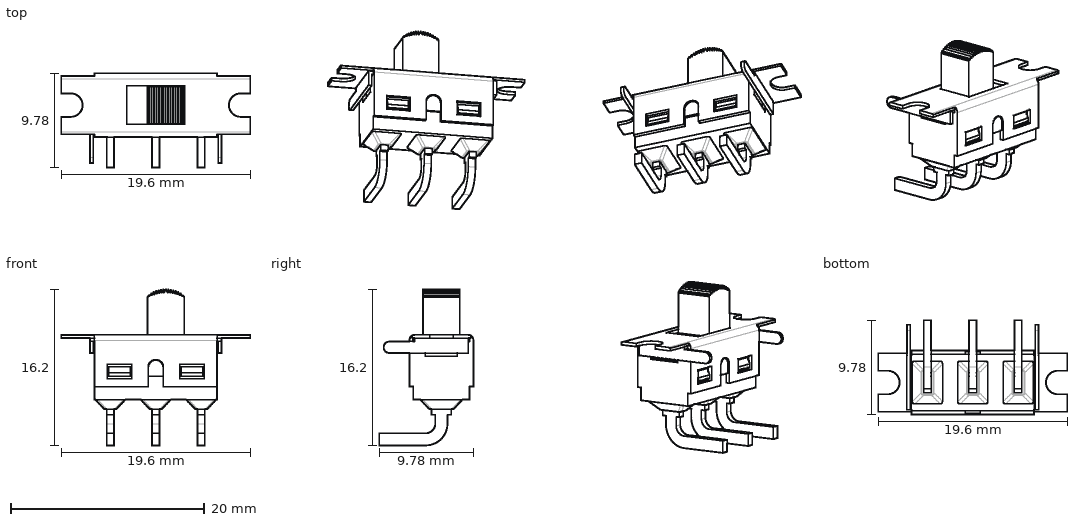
import cadquery as cq
import math


overall_depth = 9.78
overall_height = 16.19

plate_length = 19.56
plate_width = 6.06
sheet = 0.35
cover_length = 12.7
cover_width = 6.64
cover_depth = 5.36
bend_radius = 0.58
ear_slot_diameter = 2.4
ear_slot_center_x = 8.78

window_length = 5.97
window_width = 4.0

catch_offset_x = 3.75
catch_window_length = 2.5
catch_window_top = -3.07
catch_window_bottom = -4.55
arch_width = 1.59
arch_top = -2.58

housing_width = 5.84
housing_bottom = -6.71
catch_length = 2.22
catch_top = -3.3
catch_crest = -3.96
catch_bottom = -4.31
catch_height = 0.25
key_gap = 0.04
key_height = 0.26
end_recess_width = 3.32
end_recess_bottom = -2.25
end_recess_depth = 0.35

bracket_length = 13.62
bracket_width = 5.6
bracket_bottom = -2 * sheet
leg_bottom = -1.9
arm_tip_y = -5.99

knob_length = 3.84
knob_width = 3.83
knob_center_x = 1.05
knob_top = 4.72
crest_radius = 2.8
root_drop = 0.36
root_radius = 4.0
tooth_pitch = 0.252
tooth_lean = 0.05
teeth_per_side = 7

terminal_pitch = 4.7
terminal_width = 0.78
terminal_thickness = 1.28
terminal_bottom = knob_top - overall_height
terminal_bend_radius = 1.0
terminal_end_y = cover_width / 2 - overall_depth
stub_width = 2.07
stub_bottom = -8.29
foot_length = 3.14
foot_width = 4.4
foot_height = 0.98
foot_taper = 43.5
foot_corner_radius = 0.35
foot_edge_radius = 0.15


def block(x_range, y_range, z_range):
    """Box between the given limits on each axis."""
    (x0, x1), (y0, y1), (z0, z1) = x_range, y_range, z_range
    return cq.Workplane("XY").box(x1 - x0, y1 - y0, z1 - z0, centered=False).translate((x0, y0, z0))


def centered_block(length, width, z_range, center_x=0):
    """Box centred on y = 0 and on the given x."""
    return block(
        (center_x - length / 2, center_x + length / 2), (-width / 2, width / 2), z_range
    )


def folded_shell(length):
    """Plate with its long edges bent down into walls, open at the bottom and ends."""
    outer = centered_block(length, cover_width, (-cover_depth, 0)).edges("|X and >Z").fillet(bend_radius)
    return outer.cut(centered_block(length, housing_width, (-cover_depth, -sheet)))


def make_cover():
    ears = folded_shell(plate_length).intersect(centered_block(plate_length, plate_width, (-sheet, 0)))
    cover = ears.union(folded_shell(cover_length))

    for side in (-1, 1):
        slot_end = cq.Workplane("XY").center(side * ear_slot_center_x, 0).circle(ear_slot_diameter / 2)
        slot_mouth = centered_block(
            plate_length / 2 - ear_slot_center_x,
            ear_slot_diameter,
            (-sheet, 0),
            side * (plate_length / 2 + ear_slot_center_x) / 2,
        )
        cover = cover.cut(slot_end.extrude(-sheet)).cut(slot_mouth)
        cover = cover.cut(
            centered_block(
                catch_window_length,
                cover_width,
                (catch_window_bottom, catch_window_top),
                side * catch_offset_x,
            )
        )

    cover = cover.cut(centered_block(window_length, window_width, (-sheet, 0)))
    return cover.cut(arch_prism(arch_width, -cover_depth, cover_width))


def arch_prism(width, bottom, thickness):
    """Upright round-topped prism across the part, concentric with the arched notch."""
    arch_center_z = arch_top - arch_width / 2
    return (
        cq.Workplane("XZ")
        .moveTo(-width / 2, bottom)
        .lineTo(width / 2, bottom)
        .lineTo(width / 2, arch_center_z)
        .threePointArc((0, arch_center_z + width / 2), (-width / 2, arch_center_z))
        .close()
        .extrude(thickness / 2, both=True)
    )


def make_housing():
    housing = centered_block(cover_length, housing_width, (housing_bottom, bracket_bottom))

    wall_y = housing_width / 2
    catch_y = wall_y + catch_height
    for side in (-1, 1):
        catch = (
            cq.Workplane("YZ")
            .polyline(
                [
                    (-wall_y, catch_top),
                    (wall_y, catch_top),
                    (catch_y, catch_crest),
                    (catch_y, catch_bottom),
                    (-catch_y, catch_bottom),
                    (-catch_y, catch_crest),
                ]
            )
            .close()
            .extrude(catch_length / 2, both=True)
            .translate((side * catch_offset_x, 0, 0))
        )
        housing = housing.union(catch)

        recess = centered_block(
            2 * end_recess_depth,
            end_recess_width,
            (end_recess_bottom, bracket_bottom),
            side * cover_length / 2,
        )
        housing = housing.cut(recess)

    key = arch_prism(arch_width - 2 * key_gap, catch_bottom, housing_width + 2 * key_height)
    return housing.union(key)


def make_bracket():
    bracket = centered_block(bracket_length, bracket_width, (bracket_bottom, -sheet))
    arm_radius = (bracket_bottom - leg_bottom) / 2
    for side in (-1, 1):
        leg_center_x = side * (bracket_length - sheet) / 2
        leg = centered_block(sheet, bracket_width, (leg_bottom, -sheet), leg_center_x)
        arm = block(
            (leg_center_x - sheet / 2, leg_center_x + sheet / 2),
            (arm_tip_y + arm_radius, 0),
            (leg_bottom, bracket_bottom),
        )
        tip = (
            cq.Workplane("YZ")
            .center(arm_tip_y + arm_radius, leg_bottom + arm_radius)
            .circle(arm_radius)
            .extrude(sheet / 2, both=True)
            .translate((leg_center_x, 0, 0))
        )
        bracket = bracket.union(leg).union(arm).union(tip)
    return bracket


def arc_height(x, apex, radius):
    """Height at offset x of an arc that peaks at the apex over x = 0."""
    return apex - radius + math.sqrt(radius**2 - x**2)


def make_knob():
    half_length = knob_length / 2
    root_apex = knob_top - root_drop
    right_teeth = []
    for tooth in range(1, teeth_per_side + 1):
        crest_x = tooth * tooth_pitch
        root_x = crest_x - tooth_lean
        right_teeth.append((root_x, arc_height(root_x, root_apex, root_radius)))
        right_teeth.append((crest_x, arc_height(crest_x, knob_top, crest_radius)))
    right_teeth.append((half_length, arc_height(half_length, root_apex, root_radius)))
    left_teeth = [(-x, z) for x, z in reversed(right_teeth)]

    outline = [(-half_length, -sheet)] + left_teeth + [(0, knob_top)] + right_teeth + [(half_length, -sheet)]
    return (
        cq.Workplane("XZ")
        .polyline(outline)
        .close()
        .extrude(knob_width / 2, both=True)
        .translate((knob_center_x, 0, 0))
    )


def make_foot():
    return (
        cq.Workplane("XY")
        .workplane(offset=housing_bottom)
        .rect(foot_length, foot_width)
        .extrude(-foot_height, taper=foot_taper)
        .edges("not (#Z)")
        .fillet(foot_corner_radius)
        .faces("<Z")
        .edges()
        .fillet(foot_edge_radius)
    )


def make_terminal():
    stub = centered_block(terminal_width, stub_width, (stub_bottom, housing_bottom))
    half_thickness = terminal_thickness / 2
    inner_radius = terminal_bend_radius
    outer_radius = inner_radius + terminal_thickness
    bend_y = -half_thickness - inner_radius
    bend_z = terminal_bottom + outer_radius
    diagonal = math.sqrt(0.5)
    bent_bar = (
        cq.Workplane("YZ")
        .moveTo(half_thickness, stub_bottom)
        .lineTo(half_thickness, bend_z)
        .threePointArc(
            (bend_y + outer_radius * diagonal, bend_z - outer_radius * diagonal),
            (bend_y, bend_z - outer_radius),
        )
        .lineTo(terminal_end_y, bend_z - outer_radius)
        .lineTo(terminal_end_y, bend_z - inner_radius)
        .lineTo(bend_y, bend_z - inner_radius)
        .threePointArc(
            (bend_y + inner_radius * diagonal, bend_z - inner_radius * diagonal),
            (-half_thickness, bend_z),
        )
        .lineTo(-half_thickness, stub_bottom)
        .close()
        .extrude(terminal_width / 2, both=True)
    )
    return stub.union(bent_bar)


result = make_housing().union(make_cover()).union(make_bracket()).union(make_knob())
foot_with_terminal = make_foot().union(make_terminal())
for position in (-1, 0, 1):
    result = result.union(foot_with_terminal.translate((position * terminal_pitch, 0, 0)))